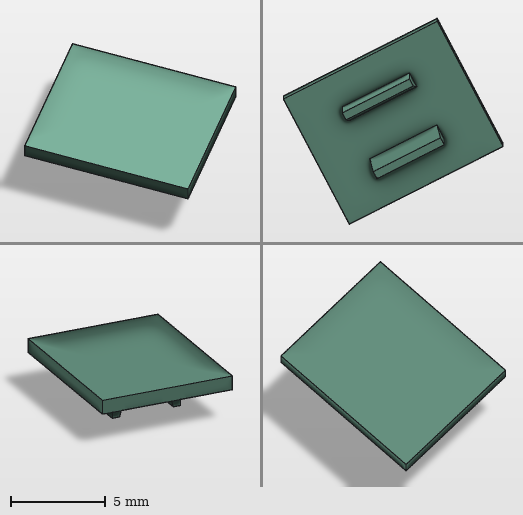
import cadquery as cq

plate_length = 9.15
plate_width = 7.6
total_height = 2.37
plate_thickness = 0.8

leg_length = 4.0
leg_outer_span = 4.0
leg_root_thickness = 0.84
leg_tip_thickness = 0.43
leg_height = total_height - plate_thickness


def make_plate():
    """Plate with its underside on Z = 0."""
    return cq.Workplane("XY").box(
        plate_length, plate_width, plate_thickness, centered=(True, True, False)
    )


def make_leg(side):
    """Leg on the +Y (side = 1) or -Y (side = -1) half, tapering on its inner face."""
    outer_y = leg_outer_span / 2
    profile = [
        (side * outer_y, 0),
        (side * outer_y, -leg_height),
        (side * (outer_y - leg_tip_thickness), -leg_height),
        (side * (outer_y - leg_root_thickness), 0),
    ]
    return cq.Workplane("YZ").polyline(profile).close().extrude(leg_length / 2, both=True)


result = make_plate()
for side in (-1, 1):
    result = result.union(make_leg(side))